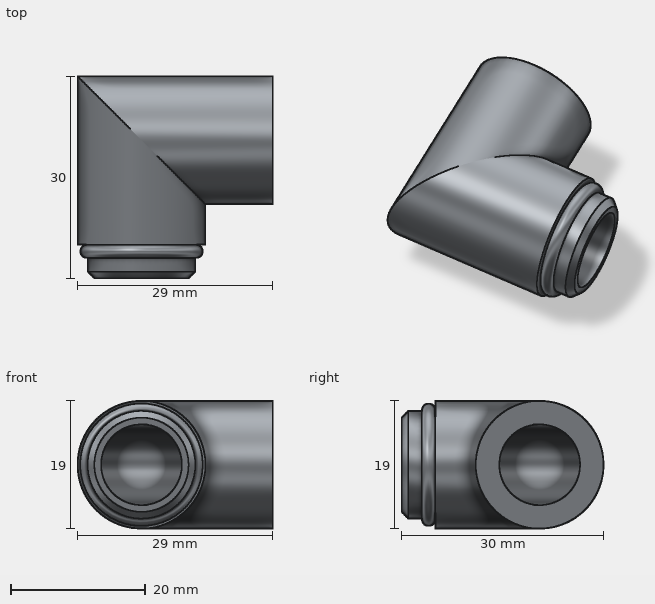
import cadquery as cq
import math

body_diameter = 19.0
bore_diameter = 12.0
spigot_diameter = 16.0
groove_diameter = 14.38
ring_outer_diameter = 18.2
groove_width = 2.0
ring_side_clearance = 0.01
socket_arm_length = 19.5
spigot_arm_length = 15.5
spigot_length = 5.0
spigot_chamfer = 1.0

body_radius = body_diameter / 2
bore_radius = bore_diameter / 2
spigot_radius = spigot_diameter / 2
groove_radius = groove_diameter / 2
ring_section_radius = groove_width / 2 - ring_side_clearance
ring_centre_radius = ring_outer_diameter / 2 - ring_section_radius

spigot_end = spigot_arm_length + spigot_length
groove_end = spigot_arm_length + groove_width
ring_position = spigot_arm_length + groove_width / 2
ring_foot_half_width = math.sqrt(ring_section_radius**2 - (ring_centre_radius - groove_radius) ** 2)


def mitred_arms(radius, x_length, y_length):
    """Two round bars along +X and -Y, joined at a 45 degree mitre through the origin."""
    x_bar = cq.Workplane("YZ").workplane(offset=-radius).circle(radius).extrude(x_length + radius)
    y_bar = cq.Workplane("XZ").workplane(offset=-radius).circle(radius).extrude(y_length + radius)

    reach = x_length + y_length
    x_side = [(-reach, reach), (reach, reach), (reach, -reach)]
    y_side = [(-reach, reach), (-reach, -reach), (reach, -reach)]
    x_half = cq.Workplane("XY").polyline(x_side).close().extrude(radius * 2, both=True)
    y_half = cq.Workplane("XY").polyline(y_side).close().extrude(radius * 2, both=True)
    return x_bar.intersect(x_half).union(y_bar.intersect(y_half))


def spigot_with_ring():
    """Stepped plug on the -Y arm: grooved neck carrying a round ring, collar and chamfered tip."""
    profile = cq.Workplane("XY").lineTo(groove_radius, 0)

    profile = profile.lineTo(groove_radius, -ring_position + ring_foot_half_width)
    profile = profile.threePointArc(
        (ring_outer_diameter / 2, -ring_position),
        (groove_radius, -ring_position - ring_foot_half_width),
    )

    profile = profile.lineTo(groove_radius, -groove_end)
    profile = profile.lineTo(spigot_radius, -groove_end)
    profile = profile.lineTo(spigot_radius, -spigot_end + spigot_chamfer)
    profile = profile.lineTo(spigot_radius - spigot_chamfer, -spigot_end)
    profile = profile.lineTo(0, -spigot_end)
    return profile.close().revolve(360, (0, 0, 0), (0, 1, 0))


body = mitred_arms(body_radius, socket_arm_length, spigot_arm_length)
bore = mitred_arms(bore_radius, socket_arm_length, spigot_end)
elbow = body.union(spigot_with_ring()).cut(bore)

result = elbow.solids()